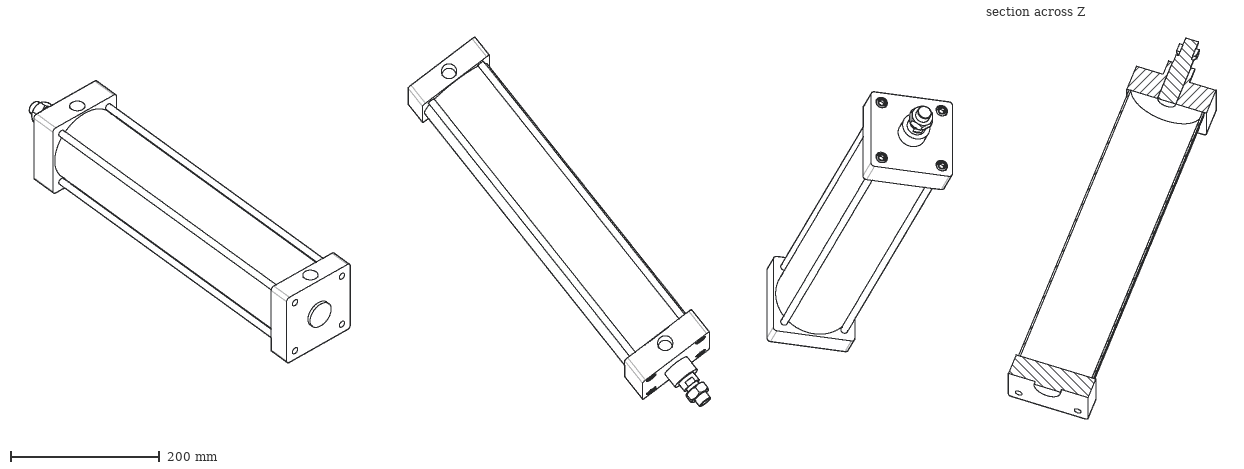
import cadquery as cq
import math


OVERALL_LENGTH = 583.01

BLOCK_SIZE = 114.3
BLOCK_CORNER_RADIUS = 5.0
HEAD_LENGTH = 39.1
CAP_LENGTH = 31.75

BOSS_DIAMETER = 38.1
HEAD_BOSS_X = 41.9
HEAD_BOSS_LENGTH = 22.2
CAP_BOSS_LENGTH = 4.4

PORT_BOTTOM_DIAMETER = 18.92
PORT_DEPTH = 25.4
PORT_TAPER = 1 / 16
PORT_TO_BARREL = 15.3

BARREL_DIAMETER = 107.95
BARREL_BORE = 101.6

TIE_ROD_DIAMETER = 9.53
TIE_ROD_PITCH = 84.2
COUNTERBORE_DIAMETER = 15.88
COUNTERBORE_DEPTH = 9.53
TIE_ROD_HEAD_DIAMETER = 14.12
TIE_ROD_HEAD_FACE_DIAMETER = 10.72
SOCKET_ACROSS_FLATS = 7.94
SOCKET_DEPTH = 5.0

ROD_DIAMETER = 25.4
ROD_SHOULDER_X = 29.4
WRENCH_FLAT_LENGTH = 7.2
WRENCH_FLATS_ACROSS = 22.2
THREAD_DIAMETER = 19.05
THREAD_TIP_DIAMETER = 17.33

NUT_X = 11.2
NUT_THICKNESS = 12.7
NUT_ACROSS_FLATS = 28.575
NUT_CHAMFER_ANGLE = 45

HEAD_X = HEAD_BOSS_X + HEAD_BOSS_LENGTH
BARREL_X = HEAD_X + HEAD_LENGTH
CAP_END_X = OVERALL_LENGTH - CAP_BOSS_LENGTH
CAP_X = CAP_END_X - CAP_LENGTH
NUT_END_X = NUT_X + NUT_THICKNESS
COUNTERBORE_FLOOR_X = HEAD_X + COUNTERBORE_DEPTH

PORT_MOUTH_DIAMETER = PORT_BOTTOM_DIAMETER + PORT_DEPTH * PORT_TAPER
HEXAGON_CORNER_RATIO = 1 / math.cos(math.pi / 6)


def cylinder(diameter, start_x, end_x):
    """Cylinder on the X axis."""
    return cq.Workplane("YZ", origin=(start_x, 0, 0)).circle(diameter / 2).extrude(end_x - start_x)


def hexagonal_bar(across_flats, start_x, end_x):
    """Hexagonal bar on the X axis, with corners at +Z and -Z."""
    bar = (
        cq.Workplane("YZ", origin=(start_x, 0, 0))
        .polygon(6, across_flats * HEXAGON_CORNER_RATIO)
        .extrude(end_x - start_x)
    )
    return bar.rotate((0, 0, 0), (1, 0, 0), 90)


def copies_at_tie_rods(shape):
    """Copies of a shape on the X axis, moved to the four tie-rod axes."""
    half_pitch = TIE_ROD_PITCH / 2
    sides = (-half_pitch, half_pitch)
    return [shape.translate((0, y, z)) for y in sides for z in sides]


def cut_at_tie_rods(block, tool):
    for hole in copies_at_tie_rods(tool):
        block = block.cut(hole)
    return block


def end_block(start_x, end_x, port_x):
    """Square block with rounded long edges and a tapered port in its top face."""
    block = (
        cq.Workplane("YZ", origin=(start_x, 0, 0))
        .rect(BLOCK_SIZE, BLOCK_SIZE)
        .extrude(end_x - start_x)
        .edges("|X")
        .fillet(BLOCK_CORNER_RADIUS)
    )
    port = cq.Solid.makeCone(
        PORT_MOUTH_DIAMETER / 2,
        PORT_BOTTOM_DIAMETER / 2,
        PORT_DEPTH,
        pnt=cq.Vector(port_x, 0, BLOCK_SIZE / 2),
        dir=cq.Vector(0, 0, -1),
    )
    return block.cut(cq.Workplane(port))


def make_head():
    """Rod-end block with the rod boss, rod bore and counterbored tie-rod holes."""
    head = end_block(HEAD_X, BARREL_X, BARREL_X - PORT_TO_BARREL)
    head = head.union(cylinder(BOSS_DIAMETER, HEAD_BOSS_X, HEAD_X))
    head = head.cut(cylinder(ROD_DIAMETER, HEAD_BOSS_X, BARREL_X))
    head = cut_at_tie_rods(head, cylinder(TIE_ROD_DIAMETER, HEAD_X, BARREL_X))
    return cut_at_tie_rods(head, cylinder(COUNTERBORE_DIAMETER, HEAD_X, COUNTERBORE_FLOOR_X))


def make_cap():
    """Rear block with a short boss and holes for the tie rods."""
    cap = end_block(CAP_X, CAP_END_X, CAP_X + PORT_TO_BARREL)
    cap = cap.union(cylinder(BOSS_DIAMETER, CAP_END_X, OVERALL_LENGTH))
    return cut_at_tie_rods(cap, cylinder(TIE_ROD_DIAMETER, CAP_X, CAP_END_X))


def make_barrel():
    return cylinder(BARREL_DIAMETER, BARREL_X, CAP_X).cut(cylinder(BARREL_BORE, BARREL_X, CAP_X))


def make_tie_rod():
    """Tie rod on the X axis; its chamfered socket head is flush with the head block."""
    chamfer = (TIE_ROD_HEAD_DIAMETER - TIE_ROD_HEAD_FACE_DIAMETER) / 2
    screw_head = cylinder(TIE_ROD_HEAD_DIAMETER, HEAD_X, COUNTERBORE_FLOOR_X).faces("<X").chamfer(chamfer)
    screw_head = screw_head.cut(hexagonal_bar(SOCKET_ACROSS_FLATS, HEAD_X, HEAD_X + SOCKET_DEPTH))
    return screw_head.union(cylinder(TIE_ROD_DIAMETER, COUNTERBORE_FLOOR_X, CAP_END_X))


def make_piston_rod():
    """Rod with a chamfered thread end and two wrench flats behind its shoulder."""
    chamfer = (THREAD_DIAMETER - THREAD_TIP_DIAMETER) / 2
    thread = cylinder(THREAD_DIAMETER, 0, ROD_SHOULDER_X).faces("<X").chamfer(chamfer)
    shank = cylinder(ROD_DIAMETER, ROD_SHOULDER_X, BARREL_X)
    flat_depth = (ROD_DIAMETER - WRENCH_FLATS_ACROSS) / 2
    flat_middle_z = (WRENCH_FLATS_ACROSS + flat_depth) / 2
    flat_middle_x = ROD_SHOULDER_X + WRENCH_FLAT_LENGTH / 2
    for z in (-flat_middle_z, flat_middle_z):
        flat = cq.Workplane("XY", origin=(flat_middle_x, 0, z)).box(
            WRENCH_FLAT_LENGTH, ROD_DIAMETER, flat_depth
        )
        shank = shank.cut(flat)
    return thread.union(shank)


def make_nut():
    """Hexagonal lock nut with its corners chamfered at both ends."""
    face_radius = NUT_ACROSS_FLATS / 2
    corner_radius = face_radius * HEXAGON_CORNER_RATIO
    chamfer_length = (corner_radius - face_radius) * math.tan(math.radians(NUT_CHAMFER_ANGLE))
    chamfer_envelope = (
        cq.Workplane("XY")
        .moveTo(NUT_X, 0)
        .lineTo(NUT_X, face_radius)
        .lineTo(NUT_X + chamfer_length, corner_radius)
        .lineTo(NUT_END_X - chamfer_length, corner_radius)
        .lineTo(NUT_END_X, face_radius)
        .lineTo(NUT_END_X, 0)
        .close()
        .revolve(360, (0, 0, 0), (1, 0, 0))
    )
    nut = hexagonal_bar(NUT_ACROSS_FLATS, NUT_X, NUT_END_X).intersect(chamfer_envelope)
    return nut.cut(cylinder(THREAD_DIAMETER, NUT_X, NUT_END_X))


head = make_head()
cap = make_cap()
barrel = make_barrel()
piston_rod = make_piston_rod()
nut = make_nut()
tie_rods = copies_at_tie_rods(make_tie_rod())

result = cq.Compound.makeCompound(
    [
        head.val(),
        cap.val(),
        barrel.val(),
        piston_rod.val(),
        nut.val(),
        *[tie_rod.val() for tie_rod in tie_rods],
    ]
)